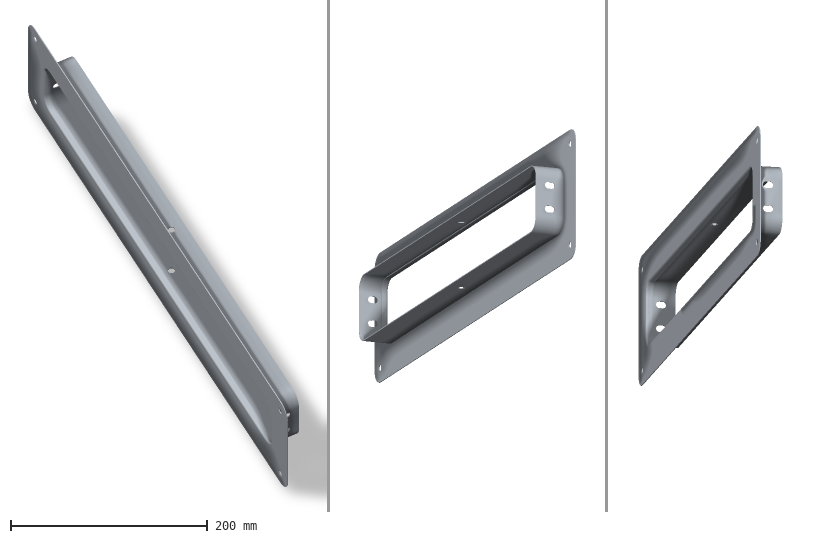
import cadquery as cq
sheet = 1.0
plate_length = 564.0
plate_height = 136.0
plate_corner_radius = 15.0
screw_hole_diameter = 7.0
screw_hole_inset = 15.0

total_depth = 31.0
rim_width = 33.0
collar_length = plate_length - 2 * rim_width
collar_height = plate_height - 2 * rim_width
collar_corner_radius = 15.0

lip_depth = 7.0
lip_outer_inset = sheet
lip_inner_inset = lip_outer_inset + sheet
lip_edge_radius = 2.0

collar_hole_y = (sheet + total_depth) / 2
collar_hole_diameter = 7.0
slot_length = 10.5
slot_width = 7.0
slot_spacing = 25.0

cut_margin = 1.0


def rounded_block(length, height, radius, front, back):
    """Block with a rounded outline in XZ, reaching from front to back along Y."""
    block = cq.Workplane("XY").box(length, back - front, height)
    return block.translate((0, (front + back) / 2, 0)).edges("|Y").fillet(radius)


def collar_block(inset, front, back):
    """Block with the outline of the collar, moved inwards by inset."""
    return rounded_block(
        collar_length - 2 * inset,
        collar_height - 2 * inset,
        collar_corner_radius - inset,
        front,
        back,
    )


def make_screw_holes():
    """Four holes through the corners of the plate."""
    return (
        cq.Workplane("XZ", origin=(0, sheet + cut_margin, 0))
        .rect(
            plate_length - 2 * screw_hole_inset,
            plate_height - 2 * screw_hole_inset,
            forConstruction=True,
        )
        .vertices()
        .circle(screw_hole_diameter / 2)
        .extrude(sheet + 2 * cut_margin)
    )


def make_plate():
    """Flat plate with a lip around its opening."""
    flat = rounded_block(plate_length, plate_height, plate_corner_radius, 0, sheet)
    lip = collar_block(lip_outer_inset, 0, lip_depth)
    opening = collar_block(lip_inner_inset, -cut_margin, lip_depth + cut_margin)
    plate = flat.union(lip).cut(opening)
    opening_edges = plate.faces("<Y").val().innerWires()[0].Edges()
    plate = plate.newObject(opening_edges).fillet(lip_edge_radius)
    return plate.cut(make_screw_holes())


def make_side_hole():
    """Vertical hole through the top and bottom walls of the collar."""
    return (
        cq.Workplane("XY", origin=(0, collar_hole_y, 0))
        .circle(collar_hole_diameter / 2)
        .extrude(collar_height, both=True)
    )


def make_end_slots():
    """Pair of slots, long along Y, through both end walls of the collar."""
    return (
        cq.Workplane("YZ", origin=(0, collar_hole_y, 0))
        .rarray(1, slot_spacing, 1, 2)
        .slot2D(slot_length, slot_width)
        .extrude(collar_length, both=True)
    )


def make_collar():
    """Whole collar, before it is split."""
    tube = collar_block(0, sheet, total_depth)
    tube = tube.cut(collar_block(sheet, 0, total_depth + cut_margin))
    return tube.cut(make_side_hole()).cut(make_end_slots())


def make_collar_half(side):
    """Upper half of the collar for side = 1, lower half for side = -1."""
    keep = cq.Workplane("XY").box(plate_length, 2 * total_depth, collar_height)
    return make_collar().intersect(keep.translate((0, total_depth, side * collar_height / 2)))


plate = make_plate()
collar_halves = [make_collar_half(side) for side in (1, -1)]
result = cq.Compound.makeCompound([plate.val(), *[half.val() for half in collar_halves]])